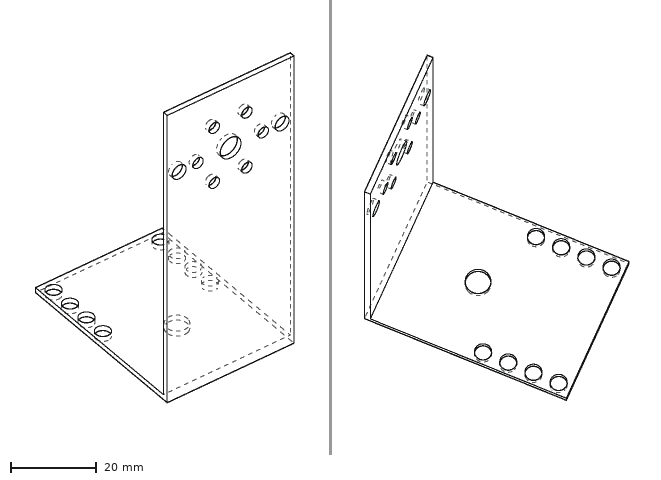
import cadquery as cq

length = 51.3
width = 37.0
height = 86.0
thickness = 1.5

large_hole_diameter = 6.0
screw_hole_diameter = 4.0
row_hole_count = 4
row_hole_pitch = 6.4
row_end_margin = row_hole_pitch / 2
row_spacing = 31.2
base_large_hole_x = 30.4

pattern_height = 67.4
ring_hole_diameter = 3.0
ring_hole_count = 6
ring_radius = 9.5
outer_hole_spacing = 30.0


def make_bracket():
    """L-shaped body: base on the XY plane, upright at the +X end, centred on Y."""
    base = cq.Workplane("XY").box(length, width, thickness, centered=(False, True, False))
    upright = (
        cq.Workplane("XY")
        .box(thickness, width, height, centered=(False, True, False))
        .translate((length - thickness, 0, 0))
    )
    return base.union(upright)


def base_holes():
    """Cutters through the base plate."""
    rows = [
        (row_end_margin + index * row_hole_pitch, side * row_spacing / 2)
        for index in range(row_hole_count)
        for side in (-1, 1)
    ]
    plane = cq.Workplane("XY")
    screw_holes = plane.pushPoints(rows).circle(screw_hole_diameter / 2).extrude(thickness)
    large_hole = plane.center(base_large_hole_x, 0).circle(large_hole_diameter / 2).extrude(thickness)
    return screw_holes.union(large_hole)


def upright_holes():
    """Cutters through the upright plate, centred on the hole pattern."""
    plane = cq.Workplane("YZ", origin=(length - thickness, 0, pattern_height))
    large_hole = plane.circle(large_hole_diameter / 2).extrude(thickness)
    ring_holes = (
        plane.polarArray(ring_radius, 0, 360, ring_hole_count)
        .circle(ring_hole_diameter / 2)
        .extrude(thickness)
    )
    outer_holes = (
        plane.rarray(outer_hole_spacing, 1, 2, 1)
        .circle(screw_hole_diameter / 2)
        .extrude(thickness)
    )
    return large_hole.union(ring_holes).union(outer_holes)


result = make_bracket().cut(base_holes()).cut(upright_holes())